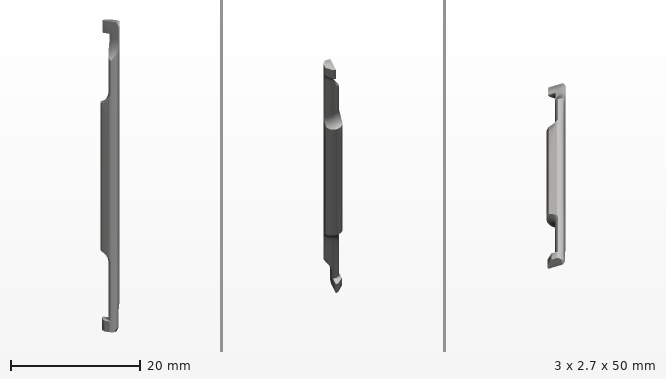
import cadquery as cq

length = 50
bar_radius = 1.5
flat_offset = 1.35
mid_z = length / 2

neck_radius = 1.35
neck_axis_x = 1.25
flare_radius = 2
flare_start = 38.75
neck_cut_reach = 3

rake_run_out_z = 47.25
rake_arc_radius = 4.6

head_height = 2.05
tip_x = -1.3
edge_land_depth = 0.15
land_depth = 0.45
land_setback = 0.1
heel_x = -0.25
relief_drop = 0.15
corner_width = 0.35
corner_height = 0.7


def bar_section(z_start, z_end):
    """Round bar with two opposite flats."""
    height = z_end - z_start
    bar = cq.Workplane("XY").workplane(offset=z_start).circle(bar_radius).extrude(height)
    flats = cq.Workplane("XY").box(2 * bar_radius, 2 * flat_offset, height, centered=(True, True, False))
    return bar.intersect(flats.translate((0, 0, z_start)))


def neck_cutter():
    """Ring around the offset neck, with a concave flare at its lower end."""
    flare_drop = (flare_radius**2 - (flare_radius + neck_radius - neck_cut_reach) ** 2) ** 0.5
    flare_mid = flare_radius * 0.5**0.5
    flare_center_x = neck_radius + flare_radius
    return (
        cq.Workplane("XZ")
        .moveTo(neck_radius, length)
        .lineTo(neck_radius, flare_start)
        .threePointArc(
            (flare_center_x - flare_mid, flare_start - flare_mid),
            (neck_cut_reach, flare_start - flare_drop),
        )
        .lineTo(neck_cut_reach, length)
        .close()
        .revolve(360, (0, 0, 0), (0, 1, 0))
        .translate((neck_axis_x, 0, 0))
    )


def rake_cutter():
    """Removes the -Y half of the end, leaving a tangent arc run-out."""
    arc_drop = (rake_arc_radius**2 - (rake_arc_radius - bar_radius) ** 2) ** 0.5
    return (
        cq.Workplane("YZ")
        .moveTo(0, length)
        .lineTo(0, rake_run_out_z)
        .radiusArc((-bar_radius, rake_run_out_z - arc_drop), rake_arc_radius)
        .lineTo(-bar_radius, length)
        .close()
        .extrude(bar_radius, both=True)
    )


def cutting_head():
    """Half-section head whose side, end and shoulder faces all fall away from the rake face."""
    base_z = length - head_height
    outline = (
        cq.Workplane("XY")
        .workplane(offset=base_z)
        .moveTo(tip_x, 0)
        .lineTo(tip_x, edge_land_depth)
        .lineTo(tip_x + land_setback, land_depth)
        .lineTo(heel_x, flat_offset)
        .lineTo(bar_radius, flat_offset)
        .lineTo(bar_radius, 0)
        .close()
        .extrude(head_height)
    )
    end_relief = (
        cq.Workplane("YZ")
        .moveTo(0, base_z)
        .lineTo(0, length)
        .lineTo(flat_offset, length - relief_drop)
        .lineTo(flat_offset, base_z + relief_drop)
        .close()
        .extrude(bar_radius, both=True)
    )
    corner_bevel = (
        cq.Workplane("XZ")
        .moveTo(bar_radius, length)
        .lineTo(bar_radius - corner_width, length)
        .lineTo(bar_radius, length - corner_height)
        .close()
        .extrude(-bar_radius)
    )
    return outline.intersect(bar_section(base_z, length)).intersect(end_relief).cut(corner_bevel)


def half_shank():
    """Upper half of the bar with its neck and rake face, ending at the head shoulder."""
    half = bar_section(mid_z, length)
    return half.cut(neck_cutter()).cut(rake_cutter()).cut(shoulder_space())


def shoulder_space():
    """Everything above the sloped shoulder on which the head sits."""
    base_z = length - head_height
    return (
        cq.Workplane("YZ")
        .moveTo(0, length)
        .lineTo(0, base_z)
        .lineTo(flat_offset, base_z + relief_drop)
        .lineTo(flat_offset, length)
        .close()
        .extrude(bar_radius, both=True)
    )


def turn_over(body):
    """Turn a body from the upper end to the lower end, half a turn about the X direction."""
    return body.rotate((0, 0, mid_z), (1, 0, mid_z), 180)


shank = half_shank().union(turn_over(half_shank())).union(cutting_head())
lower_head = turn_over(cutting_head())

result = cq.Compound.makeCompound([shank.val(), lower_head.val()])